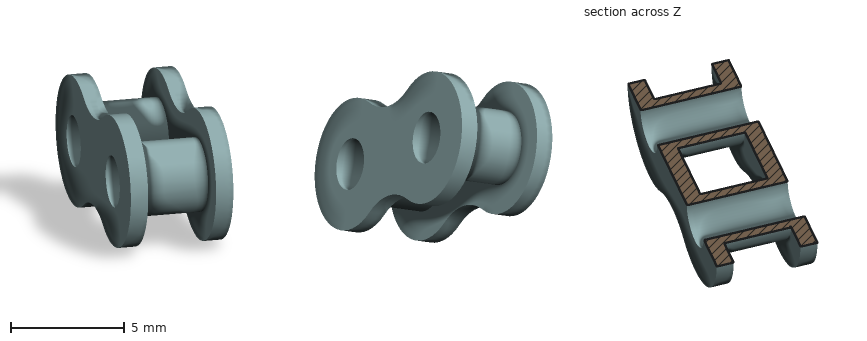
import cadquery as cq
import math

length = 12.25
width = 4.7
pitch = 6.35
plate_thickness = 0.8
bushing_diameter = 3.31
bore_diameter = 2.3

end_radius = (length - pitch) / 2
half_pitch = pitch / 2

waist_centre_height = math.sqrt((2 * end_radius) ** 2 - half_pitch ** 2)
waist_half_height = waist_centre_height - end_radius
tangent_x = half_pitch / 2
tangent_z = waist_centre_height / 2


def plate(front_y):
    """Waisted plate extending from front_y toward +Y."""
    return (
        cq.Workplane("XZ", origin=(0, front_y, 0))
        .moveTo(-tangent_x, tangent_z)
        .threePointArc((0, waist_half_height), (tangent_x, tangent_z))
        .threePointArc((length / 2, 0), (tangent_x, -tangent_z))
        .threePointArc((0, -waist_half_height), (-tangent_x, -tangent_z))
        .threePointArc((-length / 2, 0), (-tangent_x, tangent_z))
        .close()
        .extrude(-plate_thickness)
    )


def pitch_cylinders(diameter):
    """Cylinders across the full width, one on each pitch centre."""
    return (
        cq.Workplane("XZ", origin=(0, -width / 2, 0))
        .pushPoints([(-half_pitch, 0), (half_pitch, 0)])
        .circle(diameter / 2)
        .extrude(-width)
    )


front_plate = plate(-width / 2)
back_plate = plate(width / 2 - plate_thickness)
bushings = pitch_cylinders(bushing_diameter)
bores = pitch_cylinders(bore_diameter)

result = front_plate.union(bushings).union(back_plate).cut(bores)